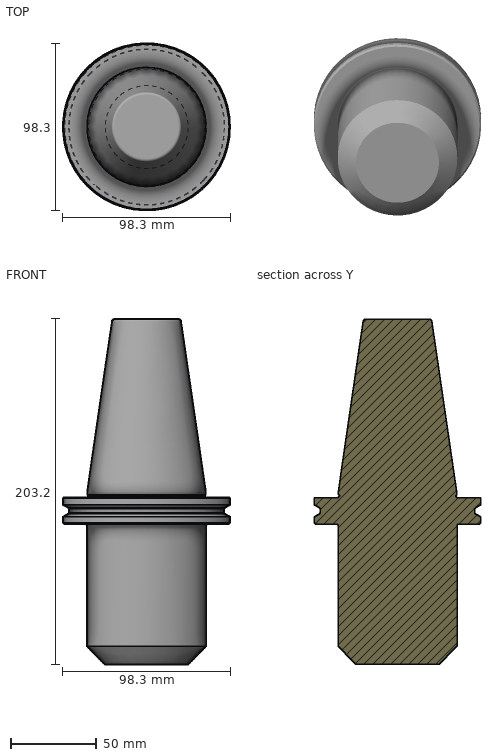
import cadquery as cq

total_height = 203.2
gauge_height = 101.5
gauge_radius = 35.0
taper_slope = 7 / 48
small_end_fillet = 1.6

gauge_land = 1.6
relief_depth = 0.8

flange_radius = 98.3 / 2
flange_top = 98.3
flange_bottom = 82.5
top_rim_chamfer = 0.6
bottom_rim_chamfer = 1.0
body_corner_fillet = 0.6
groove_floor_radius = 91.2 / 2
groove_height = 90.5
groove_floor_width = 3.0
groove_flank_height = 2.0
groove_corner_fillet = 0.6

body_radius = 35.2
nose_radius = 24.4
nose_height = 11.0

small_end_radius = gauge_radius - taper_slope * (total_height - gauge_height)
relief_radius = gauge_radius - relief_depth
land_bottom = gauge_height - gauge_land
relief_height = (land_bottom + flange_top) / 2


def make_body():
    """Nose cone and cylinder, reaching up into the flange."""
    profile = [
        (0, 0),
        (nose_radius, 0),
        (body_radius, nose_height),
        (body_radius, groove_height),
        (0, groove_height),
    ]
    return revolve_profile(profile)


def make_flange():
    """Chamfered disc with the gripper groove cut around its rim."""
    disc = (
        cq.Workplane("XY")
        .workplane(offset=flange_bottom)
        .circle(flange_radius)
        .extrude(flange_top - flange_bottom)
        .edges(">Z")
        .chamfer(top_rim_chamfer)
        .edges("<Z")
        .chamfer(bottom_rim_chamfer)
    )
    floor_half = groove_floor_width / 2
    mouth_half = floor_half + groove_flank_height
    groove = [
        (flange_radius, groove_height - mouth_half),
        (groove_floor_radius, groove_height - floor_half),
        (groove_floor_radius, groove_height + floor_half),
        (flange_radius, groove_height + mouth_half),
    ]
    floor_corners = cq.selectors.RadiusNthSelector(0)
    cutter = revolve_profile(groove).edges(floor_corners).fillet(groove_corner_fillet)
    return disc.cut(cutter)


def make_taper():
    """Tapered shank with a short land and a V-shaped relief above the flange."""
    profile = [
        (0, groove_height),
        (gauge_radius, groove_height),
        (gauge_radius, flange_top),
        (relief_radius, relief_height),
        (gauge_radius, land_bottom),
        (gauge_radius, gauge_height),
        (small_end_radius, total_height),
        (0, total_height),
    ]
    return revolve_profile(profile).faces(">Z").edges().fillet(small_end_fillet)


def revolve_profile(points):
    """Turn a closed (radius, height) outline about the Z axis."""
    return cq.Workplane("XZ").polyline(points).close().revolve(360, (0, 0), (0, 1))


def round_body_corner(part):
    """Round the inner corner between the body and the flange underside."""
    reach = body_radius + body_corner_fillet
    drop = flange_bottom - body_corner_fillet
    ring = (
        cq.Workplane("XZ")
        .moveTo(body_radius - body_corner_fillet, drop)
        .lineTo(body_radius, drop)
        .radiusArc((reach, flange_bottom), body_corner_fillet)
        .lineTo(reach, groove_height)
        .lineTo(body_radius - body_corner_fillet, groove_height)
        .close()
        .revolve(360, (0, 0), (0, 1))
    )
    return part.union(ring)


turned_part = make_body().union(make_flange()).union(make_taper())
result = round_body_corner(turned_part)